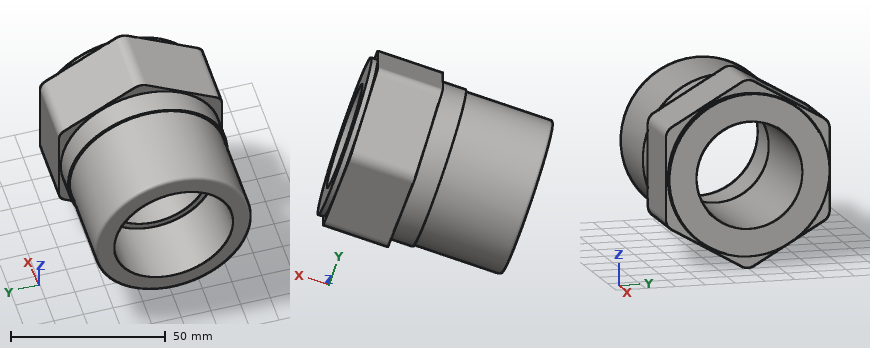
import cadquery as cq
import math

length = 62.5
collar_start = 30.1
hex_start = 38.4
hex_end = 60.5

spigot_diameter = 52.5
collar_diameter = 53.75
hex_across_flats = 55.0
hex_corner_radius = 4.05
spigot_edge_radius = 1.05

socket_diameter = 40.0
socket_depth = 21.6
through_diameter = 35.5


def cylinder_along_x(diameter, start, end):
    return cq.Workplane("YZ", origin=(start, 0, 0)).circle(diameter / 2).extrude(end - start)


def hex_nut():
    """Hexagon with flats facing +Y and -Y and rounded corners."""
    across_corners = hex_across_flats / math.cos(math.pi / 6)
    return (
        cq.Workplane("YZ", origin=(hex_start, 0, 0))
        .transformed(rotate=(0, 0, 90))
        .polygon(6, across_corners)
        .extrude(hex_end - hex_start)
        .edges("|X")
        .fillet(hex_corner_radius)
    )


spigot = cylinder_along_x(spigot_diameter, 0, collar_start)
spigot = spigot.faces("<X").edges().fillet(spigot_edge_radius)
collar = cylinder_along_x(collar_diameter, collar_start, length)
body = spigot.union(collar).union(hex_nut())

socket = cylinder_along_x(socket_diameter, 0, socket_depth)
through_bore = cylinder_along_x(through_diameter, 0, length)
result = body.cut(socket).cut(through_bore)